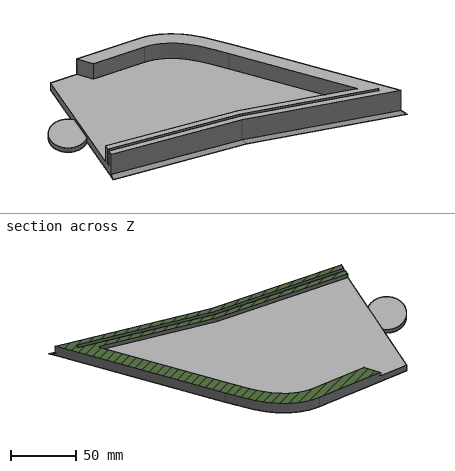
import cadquery as cq
import math

height = 25.0
floor_height = 8.0
bevel_height = 2.6
disc_height = 5.0

west_corner = (0, 69.8)
south_corner = (77.7, 2.5)
knee = (157.0, 74.0)
tip = (258.5, 148.6)
bend_start = (51.7, 124.0)
bend_end = (121.2, 145.0)
bend_middle = (73.8, 138.4)

wall_thickness = 10.0
wall_end_y = 86.0
slot_width = 2.0
slot_inset = 5.0
slot_depth = 15.8
slot_end_x = 243.0

lip_south_corner = (80.5, 0)
lip_knee = (161.0, 73.5)
lip_tip = (263.5, 149.0)

disc_center = (31.5, 28.0)
disc_radius = 15.3


def direction(start, end):
    """Unit vector from start to end."""
    length = math.dist(start, end)
    return ((end[0] - start[0]) / length, (end[1] - start[1]) / length)


def shifted(point, along, left, distance):
    """Move a point by `left` to the left of the direction and `distance` along it."""
    return (
        point[0] + along[0] * distance - along[1] * left,
        point[1] + along[1] * distance + along[0] * left,
    )


def crossing(p, u, q, v):
    """Intersection of two lines, each given by a point and a direction."""
    t = ((q[0] - p[0]) * v[1] - (q[1] - p[1]) * v[0]) / (u[0] * v[1] - u[1] * v[0])
    return shifted(p, u, 0, t)


lower_direction = direction(south_corner, knee)
upper_direction = direction(knee, tip)
west_direction = direction(west_corner, bend_start)
north_direction = direction(bend_end, tip)


def bent_side(inset):
    """South end and knee of a line parallel to the bent side, moved inwards by inset."""
    start = shifted(south_corner, lower_direction, inset, 0)
    upper_start = shifted(knee, upper_direction, inset, 0)
    return start, crossing(start, lower_direction, upper_start, upper_direction)


def outline_prism(depth):
    return (
        cq.Workplane("XY")
        .moveTo(*west_corner)
        .lineTo(*south_corner)
        .lineTo(*knee)
        .lineTo(*tip)
        .lineTo(*bend_end)
        .spline(
            [bend_middle, bend_start],
            tangents=[(-north_direction[0], -north_direction[1]), (-west_direction[0], -west_direction[1])],
            includeCurrent=True,
        )
        .close()
        .extrude(depth)
    )


def pocket():
    """Space inside the walls, open to the south-west."""
    inner_bend_start = shifted(bend_start, west_direction, -wall_thickness, 0)
    inner_bend_end = shifted(bend_end, north_direction, -wall_thickness, 0)
    middle_direction = direction(bend_start, bend_end)
    inner_bend_middle = shifted(bend_middle, middle_direction, -wall_thickness, 0)
    start, inner_knee = bent_side(wall_thickness)
    open_start = shifted(start, lower_direction, 0, -wall_thickness)
    inner_tip = crossing(inner_knee, upper_direction, inner_bend_end, north_direction)
    wall_end = crossing(inner_bend_start, west_direction, (0, wall_end_y), (1, 0))
    return (
        cq.Workplane("XY", origin=(0, 0, floor_height))
        .moveTo(*open_start)
        .lineTo(*inner_knee)
        .lineTo(*inner_tip)
        .lineTo(*inner_bend_end)
        .spline(
            [inner_bend_middle, inner_bend_start],
            tangents=[(-north_direction[0], -north_direction[1]), (-west_direction[0], -west_direction[1])],
            includeCurrent=True,
        )
        .lineTo(*wall_end)
        .lineTo(west_corner[0], wall_end_y)
        .lineTo(west_corner[0], open_start[1])
        .close()
        .extrude(height - floor_height)
    )


def slot():
    """Narrow bent slot, open at the south end and blind near the tip."""
    near_start, near_knee = bent_side(slot_inset - slot_width / 2)
    far_start, far_knee = bent_side(slot_inset + slot_width / 2)
    reach = (slot_end_x - near_knee[0]) / upper_direction[0]
    near_end = shifted(near_knee, upper_direction, 0, reach)
    far_end = shifted(near_end, upper_direction, slot_width, 0)
    return (
        cq.Workplane("XY", origin=(0, 0, height - slot_depth))
        .polyline(
            [
                shifted(near_start, lower_direction, 0, -wall_thickness),
                near_knee,
                near_end,
                far_end,
                far_knee,
                shifted(far_start, lower_direction, 0, -wall_thickness),
            ]
        )
        .close()
        .extrude(slot_depth)
    )


def lip_segment(inner_start, inner_end, outer_start, outer_end):
    """Ruled wedge that falls from the wall to a sharp edge on the ground."""

    def section(inner, outer):
        corners = [
            cq.Vector(*inner, 0),
            cq.Vector(*outer, 0),
            cq.Vector(*inner, bevel_height),
        ]
        return cq.Wire.makePolygon(corners, close=True)

    wedge = cq.Solid.makeLoft([section(inner_start, outer_start), section(inner_end, outer_end)], True)
    return cq.Workplane(obj=wedge)


result = outline_prism(height).cut(pocket()).cut(slot())
result = result.union(lip_segment(south_corner, knee, lip_south_corner, lip_knee))
result = result.union(lip_segment(knee, tip, lip_knee, lip_tip))

disc = cq.Workplane("XY").center(*disc_center).circle(disc_radius).extrude(disc_height)
result = result.union(disc)